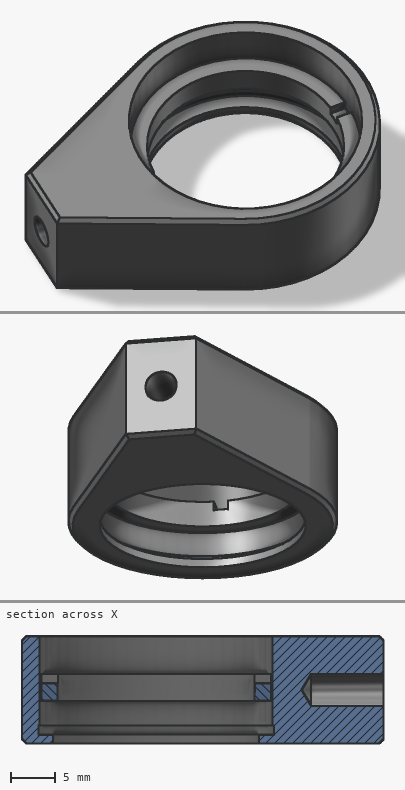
import cadquery as cq
import math

length = 40.4
eye_diameter = 30.0
height = 12.0
nose_width = 8.0
edge_chamfer = 0.5

bore_diameter = 26.0
relief_diameter = 26.3
lip_diameter = 23.0
lip_thickness = 1.0
relief_height = 1.0

screw_diameter = 3.5
screw_depth = 8.1
drill_tip_angle = 118.0

ring_outer_diameter = 25.7
ring_inner_diameter = 21.98
ring_thickness = 3.0
ring_recess = 4.25
slot_width = 1.6
slot_depth = 1.0

eye_radius = eye_diameter / 2
nose_y = eye_radius - length


def disc(diameter, bottom, top):
    """Cylinder on the bore axis between two heights."""
    return cq.Workplane("XY").workplane(offset=bottom).circle(diameter / 2).extrude(top - bottom)


def make_body():
    """Round eye whose flanks run tangentially to a narrow flat nose."""
    nose_x = nose_width / 2
    corner_angle = math.atan2(-nose_y, nose_x)
    tangent_angle = corner_angle - math.acos(eye_radius / math.hypot(nose_x, nose_y))
    tangent_x = eye_radius * math.cos(tangent_angle)
    tangent_y = -eye_radius * math.sin(tangent_angle)
    return (
        cq.Workplane("XY")
        .moveTo(-nose_x, nose_y)
        .lineTo(nose_x, nose_y)
        .lineTo(tangent_x, tangent_y)
        .threePointArc((0, eye_radius), (-tangent_x, tangent_y))
        .close()
        .extrude(height)
        .faces("<Z or >Z")
        .edges()
        .chamfer(edge_chamfer)
    )


def make_stepped_bore():
    """Wide bore, slightly wider relief below it and the opening through the bottom lip."""
    relief_top = lip_thickness + relief_height
    opening = disc(lip_diameter, 0, height)
    relief = disc(relief_diameter, lip_thickness, relief_top)
    bore = disc(bore_diameter, relief_top, height)
    return opening.union(relief).union(bore)


def make_screw_hole():
    """Drilled hole with a conical tip, running into the nose along +Y."""
    radius = screw_diameter / 2
    tip_length = radius / math.tan(math.radians(drill_tip_angle / 2))
    return (
        cq.Workplane("XY")
        .polyline([(0, 0), (radius, 0), (radius, screw_depth), (0, screw_depth + tip_length)])
        .close()
        .revolve(360, (0, 0), (0, 1))
        .translate((0, nose_y, height / 2))
    )


def make_housing():
    return make_body().cut(make_stepped_bore()).cut(make_screw_hole())


def make_retaining_ring():
    """Ring with one spanner slot across both sides of its top face."""
    top = height - ring_recess
    bottom = top - ring_thickness
    ring = disc(ring_outer_diameter, bottom, top).cut(disc(ring_inner_diameter, bottom, top))
    slot = (
        cq.Workplane("XY")
        .workplane(offset=top - slot_depth)
        .rect(slot_width, ring_outer_diameter)
        .extrude(slot_depth)
    )
    return ring.cut(slot)


housing = make_housing()
retaining_ring = make_retaining_ring()

result = cq.Compound.makeCompound([housing.val(), retaining_ring.val()])